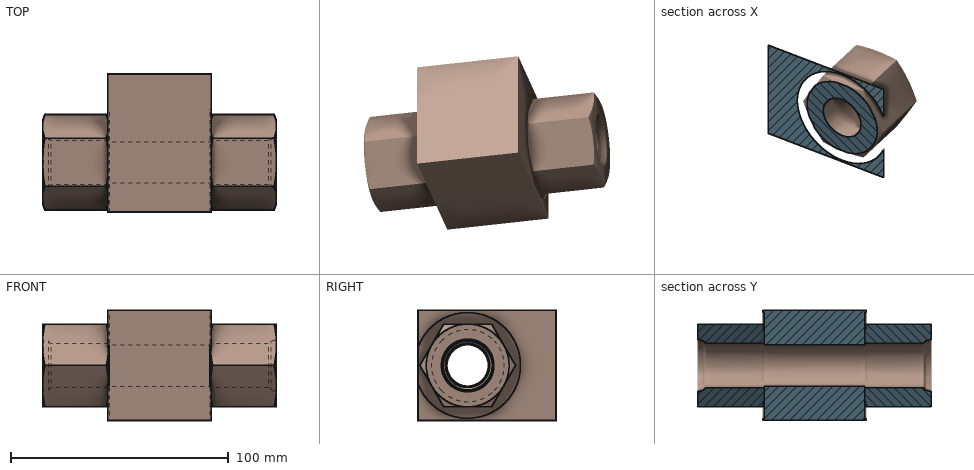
import cadquery as cq
import math

BLOCK_LENGTH = 47.63
BLOCK_DEPTH = 63.5
BLOCK_HEIGHT = 50.8

AXIS_FROM_FRONT = 22.86
AXIS_Y = -BLOCK_DEPTH / 2 + AXIS_FROM_FRONT
BLOCK_BORE_DIAMETER = 19.05

SPOTFACE_DIAMETER = 48.65
SPOTFACE_DEPTH = 0.7

OVERALL_LENGTH = 107.57
HEX_ACROSS_FLATS = 38.1
HEX_ACROSS_CORNERS = HEX_ACROSS_FLATS / math.cos(math.radians(30))
CORNER_CHAMFER_ANGLE = 20
CORNER_CHAMFER_LENGTH = (
    (HEX_ACROSS_CORNERS - HEX_ACROSS_FLATS) / 2 * math.tan(math.radians(CORNER_CHAMFER_ANGLE))
)

NECK_DIAMETER = 33.33
NECK_LENGTH = 0.25

SEAT_X = BLOCK_LENGTH / 2 - SPOTFACE_DEPTH
HEX_START_X = SEAT_X + NECK_LENGTH
OUTER_X = OVERALL_LENGTH / 2

PORT_MOUTH_DIAMETER = 24.2
PORT_EDGE_BREAK = 0.25
SEAL_CONE_START_RADIUS = PORT_MOUTH_DIAMETER / 2 - PORT_EDGE_BREAK
SEAL_CONE_END_DEPTH = 2.57
SEAL_CONE_HALF_ANGLE = 14
SEAL_CONE_TAPER = (SEAL_CONE_END_DEPTH - PORT_EDGE_BREAK) * math.tan(math.radians(SEAL_CONE_HALF_ANGLE))
SEAL_CONE_END_RADIUS = SEAL_CONE_START_RADIUS - SEAL_CONE_TAPER
FITTING_BORE_DIAMETER = 20.27
LEAD_IN_DEPTH = SEAL_CONE_END_RADIUS - FITTING_BORE_DIAMETER / 2


def across_x(x):
    """Workplane facing +X, with its origin on the flow axis at the given X."""
    return cq.Workplane("YZ", origin=(x, AXIS_Y, 0))


def revolve_about_flow_axis(points):
    """Revolve a closed (x, radius) outline about the flow axis."""
    outline = cq.Workplane("XY", origin=(0, AXIS_Y, 0)).polyline(points).close()
    return outline.revolve(360, (0, 0, 0), (1, 0, 0))


def make_block():
    block = cq.Workplane("XY").box(BLOCK_LENGTH, BLOCK_DEPTH, BLOCK_HEIGHT)
    block = block.cut(across_x(-BLOCK_LENGTH / 2).circle(BLOCK_BORE_DIAMETER / 2).extrude(BLOCK_LENGTH))
    for floor_x in (-BLOCK_LENGTH / 2, SEAT_X):
        spotface = across_x(floor_x).circle(SPOTFACE_DIAMETER / 2).extrude(SPOTFACE_DEPTH)
        block = block.cut(spotface)
    return block


def make_right_fitting():
    hexagon = across_x(HEX_START_X).polygon(6, HEX_ACROSS_CORNERS).extrude(OUTER_X - HEX_START_X)

    flat_radius = HEX_ACROSS_FLATS / 2
    corner_radius = HEX_ACROSS_CORNERS / 2
    envelope = revolve_about_flow_axis([
        (HEX_START_X, 0),
        (HEX_START_X, flat_radius),
        (HEX_START_X + CORNER_CHAMFER_LENGTH, corner_radius),
        (OUTER_X - CORNER_CHAMFER_LENGTH, corner_radius),
        (OUTER_X, flat_radius),
        (OUTER_X, 0),
    ])

    neck = across_x(SEAT_X).circle(NECK_DIAMETER / 2).extrude(NECK_LENGTH)

    seal_cone_end_x = OUTER_X - SEAL_CONE_END_DEPTH
    bore_radius = FITTING_BORE_DIAMETER / 2
    passage = revolve_about_flow_axis([
        (SEAT_X, 0),
        (SEAT_X, bore_radius),
        (seal_cone_end_x - LEAD_IN_DEPTH, bore_radius),
        (seal_cone_end_x, SEAL_CONE_END_RADIUS),
        (OUTER_X - PORT_EDGE_BREAK, SEAL_CONE_START_RADIUS),
        (OUTER_X, PORT_MOUTH_DIAMETER / 2),
        (OUTER_X, 0),
    ])
    return hexagon.intersect(envelope).union(neck).cut(passage)


block = make_block()
right_fitting = make_right_fitting()
left_fitting = right_fitting.mirror("YZ")

result = cq.Compound.makeCompound([block.val(), right_fitting.val(), left_fitting.val()])